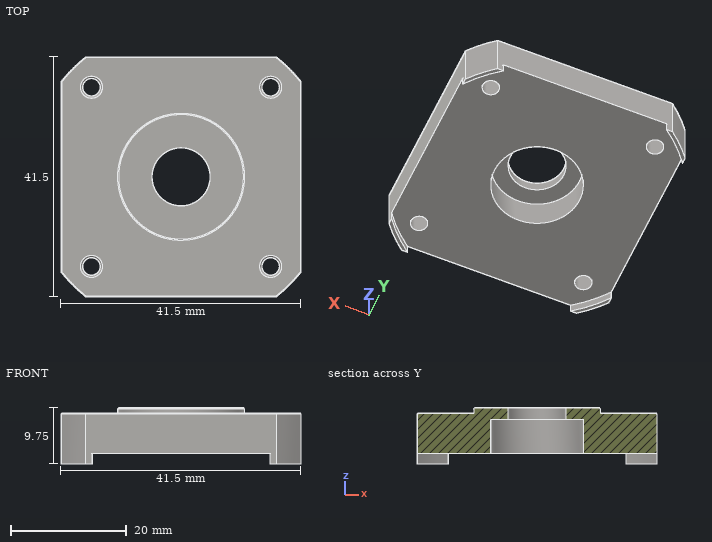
import cadquery as cq

side = 41.5
corner_diameter = 53.05
cover_height = 8.8
cover_chamfer = 0.12

boss_diameter = 22.0
total_height = 9.75
boss_chamfer = 0.2

bore_diameter = 10.0
bearing_diameter = 16.0
bore_depth = 2.08

register_diameter = 51.63
foot_height = 1.8

hole_diameter = 3.0
countersink_diameter = 3.8
countersink_angle = 90
hole_spacing = 31.0


def cylinder(diameter, bottom, top):
    """Cylinder about the Z axis between two heights."""
    return cq.Workplane("XY").workplane(offset=bottom).circle(diameter / 2).extrude(top - bottom)


def make_cover():
    """Square block whose corners are rounded by one large cylinder, with a chamfered top edge."""
    block = cq.Workplane("XY").rect(side, side).extrude(cover_height)
    block = block.intersect(cylinder(corner_diameter, 0, cover_height))
    return block.faces(">Z").chamfer(cover_chamfer)


def make_boss():
    """Low round boss with a chamfered rim."""
    boss = cylinder(boss_diameter, foot_height, total_height)
    return boss.faces(">Z").edges().chamfer(boss_chamfer)


def drill_screw_holes(body):
    """Four through holes on a square pattern, countersunk from the top face of the cover."""
    return (
        body.copyWorkplane(cq.Workplane("XY", origin=(0, 0, cover_height)))
        .rect(hole_spacing, hole_spacing, forConstruction=True)
        .vertices()
        .cskHole(hole_diameter, countersink_diameter, countersink_angle)
    )


body = make_cover().union(make_boss())
body = body.cut(cylinder(register_diameter, 0, foot_height))
body = body.cut(cylinder(bearing_diameter, 0, total_height - bore_depth))
body = body.cut(cylinder(bore_diameter, 0, total_height))
result = drill_screw_holes(body)